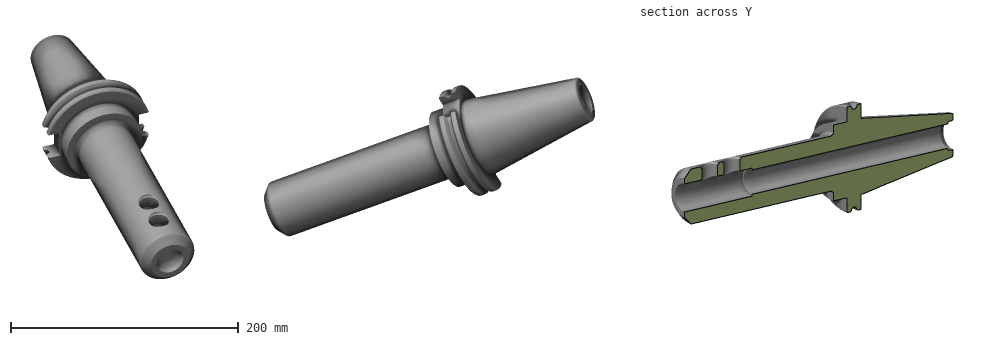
import cadquery as cq
import math

total_length = 304.8
gauge_x = 101.8
flange_start = 104.5
flange_end = 121.0
collar_end = 136.0

gauge_diameter = 69.8
taper_ratio = 7 / 24
small_end_diameter = gauge_diameter - taper_ratio * gauge_x
end_round = 2.0

flange_diameter = 97.5
flange_edge_chamfer = 1.0
groove_center = 112.5
groove_mouth_width = 7.3
groove_floor_width = 3.0
groove_depth = 3.7
groove_corner_round = 0.3
slot_width = 25.5
slot_floor_front = 35.7
slot_floor_back = 37.8

collar_diameter = 70.0
nose_diameter = 51.0
neck_length = 3.7
neck_step = 2.5
nose_chamfer_length = 7.0
nose_face_diameter = 35.7
nose_edge_round = 3.0
edge_search_margin = 0.3

through_diameter = 22.0
drawbar_diameter = 26.2
drawbar_mouth_diameter = 26.8
drawbar_mouth_depth = 2.7
drawbar_depth = 5.5
tool_bore_diameter = 25.3
tool_bore_depth = 76.2

screw_mouth_diameter = 20.0
screw_diameter = 17.5
screw_mouth_depth = 1.0
screw_positions = (251.0, 276.2)


def taper():
    cone = cq.Workplane("XY").polyline([
        (0, 0),
        (0, small_end_diameter / 2),
        (gauge_x, gauge_diameter / 2),
        (flange_start, gauge_diameter / 2),
        (flange_start, 0),
    ]).close().revolve(360, (0, 0, 0), (1, 0, 0))
    return cone.faces("<X").edges().fillet(end_round)


def flange():
    radius = flange_diameter / 2
    floor_radius = radius - groove_depth
    profile = cq.Workplane("XY").polyline([
        (flange_start, 0),
        (flange_start, radius),
        (groove_center - groove_mouth_width / 2, radius),
        (groove_center - groove_floor_width / 2, floor_radius),
        (groove_center + groove_floor_width / 2, floor_radius),
        (groove_center + groove_mouth_width / 2, radius),
        (flange_end - flange_edge_chamfer, radius),
        (flange_end, radius - flange_edge_chamfer),
        (flange_end, 0),
    ]).close()
    body = profile.revolve(360, (0, 0, 0), (1, 0, 0))
    smallest_circles = cq.selectors.RadiusNthSelector(0)
    floor_edges = body.edges(cq.selectors.BoxSelector(
        (groove_center - groove_floor_width, -radius, -radius),
        (groove_center + groove_floor_width, radius, radius),
    )).edges(smallest_circles)
    return floor_edges.fillet(groove_corner_round)


def drive_slot(side, floor):
    """Slot through the flange width; side is +1 for +Y and -1 for -Y."""
    length = flange_end - flange_start
    depth = flange_diameter / 2
    return cq.Workplane("XY").box(length, depth, slot_width).translate(
        ((flange_start + flange_end) / 2, side * (floor + depth / 2), 0)
    )


def collar_and_nose():
    nose_radius = nose_diameter / 2
    neck_radius = (neck_length**2 + neck_step**2) / (2 * neck_step)
    half_sweep = math.atan(neck_step / neck_length)
    neck_end = collar_end + neck_length
    neck_middle = (
        neck_end - neck_radius * math.sin(half_sweep),
        nose_radius + neck_radius * (1 - math.cos(half_sweep)),
    )
    chamfer_start = total_length - nose_chamfer_length
    body = (
        cq.Workplane("XY")
        .moveTo(flange_end, 0)
        .lineTo(flange_end, collar_diameter / 2)
        .lineTo(collar_end, collar_diameter / 2)
        .lineTo(collar_end, nose_radius + neck_step)
        .threePointArc(neck_middle, (neck_end, nose_radius))
        .lineTo(chamfer_start, nose_radius)
        .lineTo(total_length, nose_face_diameter / 2)
        .lineTo(total_length, 0)
        .close()
        .revolve(360, (0, 0, 0), (1, 0, 0))
    )
    chamfer_edge = cq.selectors.BoxSelector(
        (chamfer_start - edge_search_margin, -nose_diameter, -nose_diameter),
        (chamfer_start + edge_search_margin, nose_diameter, nose_diameter),
    )
    return body.edges(chamfer_edge).fillet(nose_edge_round)


def bores():
    profile = cq.Workplane("XY").polyline([
        (0, 0),
        (0, drawbar_mouth_diameter / 2),
        (drawbar_mouth_depth, drawbar_diameter / 2),
        (drawbar_depth, drawbar_diameter / 2),
        (drawbar_depth, through_diameter / 2),
        (total_length - tool_bore_depth, through_diameter / 2),
        (total_length - tool_bore_depth, tool_bore_diameter / 2),
        (total_length, tool_bore_diameter / 2),
        (total_length, 0),
    ]).close()
    return profile.revolve(360, (0, 0, 0), (1, 0, 0))


def screw_hole(x):
    """Countersunk hole from the top of the nose into the tool bore."""
    top = nose_diameter / 2
    mouth_bottom = top - screw_mouth_depth
    countersink = (screw_mouth_diameter - screw_diameter) / 2
    profile = cq.Workplane("XZ").polyline([
        (0, 0),
        (screw_diameter / 2, 0),
        (screw_diameter / 2, mouth_bottom - countersink),
        (screw_mouth_diameter / 2, mouth_bottom),
        (screw_mouth_diameter / 2, top),
        (0, top),
    ]).close()
    return profile.revolve(360, (0, 0, 0), (0, 1, 0)).translate((x, 0, 0))


result = taper().union(flange())
result = result.cut(drive_slot(-1, slot_floor_front)).cut(drive_slot(1, slot_floor_back))
result = result.union(collar_and_nose()).cut(bores())
for screw_x in screw_positions:
    result = result.cut(screw_hole(screw_x))